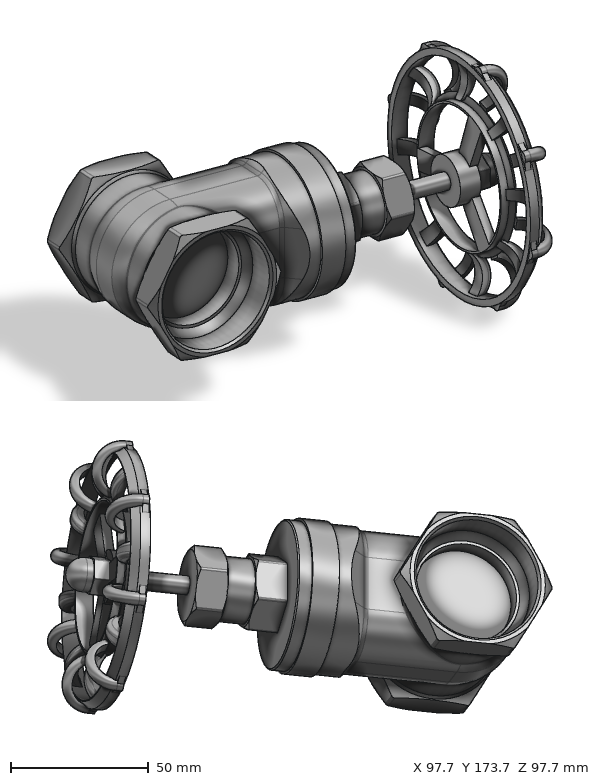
import cadquery as cq
import math

OVERALL_LENGTH = 173.7

END_HALF_LENGTH = 36.0
END_HEX_FLATS = 50.0
END_HEX_WIDTH = 12.2
END_HEX_CORNER_RADIUS = 1.4
END_HEX_CHAMFER = 2.0
END_HEX_FACE_RADIUS = 25.5
END_HEX_BACK_RADIUS = 24.7
PIPE_RADIUS = 48.0 / 2
PIPE_COLLAR_LENGTH = 1.5

MOUTH_RADIUS = 48.0 / 2
THREAD_RADIUS = 46.0 / 2
SEAT_CONE_RADIUS = 20.2
SEAT_RADIUS = 38.0 / 2
THREAD_DEPTH = 12.2
SEAT_CONE_LENGTH = 3.1
SEAT_DEPTH = 7.5

CHAMBER_HALF_X = 20.2
CHAMBER_HALF_Z = 25.0
CHAMBER_CORNER_RADIUS = 15.0
CHAMBER_AXIS_Y = -0.9
CHAMBER_TOP_Y = 37.9
BOWL_RADIUS = 55.0 / 2
FLARE_FILLET = 2.5
PIPE_JOINT_FILLET = 0.9

UNION_RADIUS = 57.0 / 2
UNION_BOTTOM_Y = 50.0
UNION_TOP_Y = 60.1
FLANGE_TOP_Y = 65.3
FLANGE_CHAMFER = 0.5
BONNET_HEX_TOP_Y = 77.1
GLAND_BOTTOM_Y = 87.5
GLAND_TOP_Y = 99.4
SMALL_HEX_FLATS = 25.9
SMALL_HEX_CORNER_RADIUS = 1.0
SMALL_HEX_CHAMFER = 1.0
COLLAR_RADIUS = 24.0 / 2
BONNET_HEX_ANGLE = 90.0
GLAND_ANGLE = -5.0

STEM_RADIUS = 7.0 / 2
STEM_TIP_RADIUS = 6.6 / 2
STEM_TIP_LENGTH = 8.0
NUT_HEIGHT = 15.0
NUT_HEX_FLATS = 13.0
NUT_HEX_HEIGHT = 6.3
NUT_HEX_CORNER_RADIUS = 0.3
DOME_RADIUS = 12.5 / 2

WHEEL_DROP = 18.0
HUB_RADIUS = 20.0 / 2
HUB_DROP = 5.7
RIM_RADIUS = 48.3
RIM_BORE_RADIUS = 91.0 / 2
RIM_EDGE_HEIGHT = 3.8
RIM_HEIGHT = 6.8
RIM_TOP_LAND = 0.3
RING_RADIUS = 31.1
RING_BASE_RADIUS = 28.5
RING_BORE_RADIUS = 27.6
RING_LIP_HEIGHT = 3.3
RING_EDGE_HEIGHT = 4.5
LOOP_COUNT = 8
LOOP_FIRST_ANGLE = 30.0
LOOP_ROUND_RADIUS = 2.5
LOOP_FLAT_DEPTH = 0.7
LOOP_BEND_RADIUS = 8.5
LOOP_FOOT_RADIUS = 48.0
LOOP_FOOT_HEIGHT = 0.5
LOOP_BEND_HEIGHT = 3.0
LOOP_END_HEIGHT = 5.2
LUG_HALF_WIDTH = 5.0
LUG_TIP_HALF_WIDTH = 2.0
LUG_HEIGHT = 2.5
BAR_FIRST_ANGLE = 7.5
BAR_INNER_WIDTH = 4.2
BAR_OUTER_WIDTH = 6.3
BAR_INNER_BOTTOM = 1.7
BAR_INNER_TOP = 5.2
BAR_CROWN_RADIUS = 41.7
BAR_CROWN_BOTTOM = 4.5
BAR_CROWN_TOP = 9.0
BAR_OUTER_BOTTOM = 0.5
BAR_OUTER_TOP = 5.2
BAR_EDGE_RADIUS = 1.7
SPOKE_COUNT = 3
SPOKE_FIRST_ANGLE = 67.5
SPOKE_HUB_WIDTH = 7.6
SPOKE_RING_WIDTH = 9.0
SPOKE_THICKNESS = 3.6

HEX_CORNER_FACTOR = 1 / math.cos(math.radians(30))
end_hex_reach = END_HEX_FLATS / 2 * HEX_CORNER_FACTOR - END_HEX_CORNER_RADIUS * (HEX_CORNER_FACTOR - 1)
nut_top_y = OVERALL_LENGTH - end_hex_reach
nut_base_y = nut_top_y - NUT_HEIGHT
wheel_y = nut_top_y - WHEEL_DROP
hub_bottom_y = wheel_y - HUB_DROP


def turned_y(points):
    """Solid of revolution about Y from (radius, y) points."""
    return cq.Workplane("XY").polyline(points).close().revolve(360, (0, 0), (0, 1))


def turned_x(points):
    """Solid of revolution about X from (x, radius) points."""
    return cq.Workplane("XY").polyline(points).close().revolve(360, (0, 0), (1, 0))


def cylinder_y(radius, bottom, top):
    return cq.Workplane("XZ", origin=(0, bottom, 0)).circle(radius).extrude(bottom - top)


def about_stem(shape, angle):
    """Turn a shape about the stem, from +X toward +Z."""
    return shape.rotate((0, 0, 0), (0, 1, 0), -angle)


def hex_y(flats, bottom, top, corner_radius, angle):
    """Hexagonal prism along Y with rounded corners, one of them at the given angle."""
    prism = (
        cq.Workplane("XZ", origin=(0, bottom, 0))
        .polygon(6, flats * HEX_CORNER_FACTOR)
        .extrude(bottom - top)
        .edges("|Y")
        .fillet(corner_radius)
    )
    return about_stem(prism, angle)


def pipe_end():
    """Hexagonal pipe end on the +X side, turned down to cones at both faces."""
    inner_x = END_HALF_LENGTH - END_HEX_WIDTH
    prism = (
        cq.Workplane("YZ", origin=(inner_x, 0, 0))
        .polygon(6, END_HEX_FLATS * HEX_CORNER_FACTOR)
        .extrude(END_HEX_WIDTH)
        .edges("|X")
        .fillet(END_HEX_CORNER_RADIUS)
    )
    envelope = turned_x([
        (inner_x, 0),
        (inner_x, END_HEX_BACK_RADIUS),
        (inner_x + END_HEX_CHAMFER, end_hex_reach),
        (END_HALF_LENGTH - END_HEX_CHAMFER, end_hex_reach),
        (END_HALF_LENGTH, END_HEX_FACE_RADIUS),
        (END_HALF_LENGTH, 0),
    ])
    collar = turned_x([
        (inner_x - PIPE_COLLAR_LENGTH, 0),
        (inner_x - PIPE_COLLAR_LENGTH, PIPE_RADIUS),
        (inner_x, END_HEX_BACK_RADIUS),
        (inner_x, 0),
    ])
    return prism.intersect(envelope).union(collar)


def pipe_bore():
    """Blind bore on the +X side: mouth chamfer, thread bore, cone and seat bore up to the gate."""
    mouth_x = END_HALF_LENGTH - (MOUTH_RADIUS - THREAD_RADIUS)
    cone_x = END_HALF_LENGTH - THREAD_DEPTH
    seat_x = cone_x - SEAT_CONE_LENGTH
    gate_x = seat_x - SEAT_DEPTH
    return turned_x([
        (END_HALF_LENGTH, 0),
        (END_HALF_LENGTH, MOUTH_RADIUS),
        (mouth_x, THREAD_RADIUS),
        (cone_x, THREAD_RADIUS),
        (seat_x, SEAT_CONE_RADIUS),
        (seat_x, SEAT_RADIUS),
        (gate_x, SEAT_RADIUS),
        (gate_x, 0),
    ])


def chamber_section():
    """Rounded rectangle of the gate chamber at the level of its lower rounding."""
    return cq.Sketch().rect(2 * CHAMBER_HALF_X, 2 * CHAMBER_HALF_Z).vertices().fillet(CHAMBER_CORNER_RADIUS)


def is_pipe_joint(edge):
    """True for an edge where the chamber leaves the pipe surface."""
    tolerance = 0.002
    points = [edge.positionAt(t) for t in (0, 0.3, 1)]
    on_pipe = all(abs(math.hypot(p.y, p.z) - PIPE_RADIUS) < tolerance for p in points)
    return on_pipe and all(abs(p.x) < CHAMBER_HALF_X + tolerance for p in points)


def pipe_and_chamber():
    """Pipe crossed by a rounded-rectangle neck with a round underside and a 45-degree flare to the bowl."""
    neck_length = CHAMBER_TOP_Y - CHAMBER_AXIS_Y
    section = cq.Workplane("XZ", origin=(0, CHAMBER_AXIS_Y, 0)).placeSketch(chamber_section())
    neck = section.extrude(-neck_length)
    flat_half = CHAMBER_HALF_X - CHAMBER_CORNER_RADIUS
    shoulder = CHAMBER_HALF_Z - CHAMBER_CORNER_RADIUS
    underside = (
        cq.Workplane("XY", origin=(0, CHAMBER_AXIS_Y, 0))
        .moveTo(-CHAMBER_HALF_X, 0)
        .lineTo(-CHAMBER_HALF_X, shoulder)
        .radiusArc((-flat_half, CHAMBER_HALF_Z), CHAMBER_CORNER_RADIUS)
        .lineTo(flat_half, CHAMBER_HALF_Z)
        .radiusArc((CHAMBER_HALF_X, shoulder), CHAMBER_CORNER_RADIUS)
        .lineTo(CHAMBER_HALF_X, 0)
        .close()
        .revolve(360, (0, 0, 0), (1, 0, 0))
    )
    flare = (
        cq.Workplane("XZ", origin=(0, CHAMBER_TOP_Y, 0))
        .placeSketch(chamber_section())
        .extrude(CHAMBER_TOP_Y - UNION_BOTTOM_Y, taper=-45)
        .intersect(cylinder_y(BOWL_RADIUS, CHAMBER_TOP_Y, UNION_BOTTOM_Y))
    )
    flare_foot = cq.selectors.BoxSelector(
        (-UNION_RADIUS, CHAMBER_TOP_Y - FLARE_FILLET / 10, -UNION_RADIUS),
        (UNION_RADIUS, CHAMBER_TOP_Y + FLARE_FILLET / 10, UNION_RADIUS),
    )
    chamber = neck.union(flare).edges(flare_foot).fillet(FLARE_FILLET).union(underside)
    pipe_half_length = END_HALF_LENGTH - END_HEX_WIDTH / 2
    pipe = cq.Workplane("YZ").circle(PIPE_RADIUS).extrude(pipe_half_length, both=True)
    crossing = pipe.union(chamber)
    joint = [edge for edge in crossing.edges().vals() if is_pipe_joint(edge)]
    return crossing.newObject(joint).fillet(PIPE_JOINT_FILLET)


def bonnet_flanges():
    """Union ring and the chamfered flange above it."""
    return turned_y([
        (0, UNION_BOTTOM_Y),
        (UNION_RADIUS, UNION_BOTTOM_Y),
        (UNION_RADIUS, UNION_TOP_Y),
        (BOWL_RADIUS, UNION_TOP_Y),
        (BOWL_RADIUS, FLANGE_TOP_Y - FLANGE_CHAMFER),
        (BOWL_RADIUS - FLANGE_CHAMFER, FLANGE_TOP_Y),
        (0, FLANGE_TOP_Y),
    ])


def gland():
    """Bonnet hexagon, collar and the gland hexagon, with turned-down hexagon ends."""
    full_radius = SMALL_HEX_FLATS / 2 * HEX_CORNER_FACTOR
    end_radius = full_radius - SMALL_HEX_CHAMFER * math.sqrt(3)
    bonnet_hex = hex_y(
        SMALL_HEX_FLATS, FLANGE_TOP_Y, BONNET_HEX_TOP_Y, SMALL_HEX_CORNER_RADIUS, BONNET_HEX_ANGLE
    ).intersect(turned_y([
        (0, FLANGE_TOP_Y),
        (full_radius, FLANGE_TOP_Y),
        (full_radius, BONNET_HEX_TOP_Y - SMALL_HEX_CHAMFER),
        (end_radius, BONNET_HEX_TOP_Y),
        (0, BONNET_HEX_TOP_Y),
    ]))
    gland_nut = hex_y(
        SMALL_HEX_FLATS, GLAND_BOTTOM_Y, GLAND_TOP_Y, SMALL_HEX_CORNER_RADIUS, GLAND_ANGLE
    ).intersect(turned_y([
        (0, GLAND_BOTTOM_Y),
        (end_radius, GLAND_BOTTOM_Y),
        (full_radius, GLAND_BOTTOM_Y + SMALL_HEX_CHAMFER),
        (full_radius, GLAND_TOP_Y - SMALL_HEX_CHAMFER),
        (end_radius, GLAND_TOP_Y),
        (0, GLAND_TOP_Y),
    ]))
    collar = cylinder_y(COLLAR_RADIUS, BONNET_HEX_TOP_Y, GLAND_BOTTOM_Y)
    return bonnet_hex.union(collar).union(gland_nut)


def stem():
    """Stem from the gland through the wheel, with a thinner tip inside the cap nut."""
    shank = cylinder_y(STEM_RADIUS, GLAND_TOP_Y, nut_base_y)
    tip = cylinder_y(STEM_TIP_RADIUS, nut_base_y, nut_base_y + STEM_TIP_LENGTH)
    return shank.union(tip)


def make_valve_body():
    body = pipe_and_chamber().union(bonnet_flanges()).union(gland()).union(stem())
    for side_angle in (0, 180):
        body = body.union(about_stem(pipe_end(), side_angle))
    for side_angle in (0, 180):
        body = body.cut(about_stem(pipe_bore(), side_angle))
    return body


def wheel_rim():
    return turned_y([
        (RIM_BORE_RADIUS, wheel_y),
        (RIM_RADIUS, wheel_y),
        (RIM_RADIUS, wheel_y + RIM_EDGE_HEIGHT),
        (RIM_BORE_RADIUS + RIM_TOP_LAND, wheel_y + RIM_HEIGHT),
        (RIM_BORE_RADIUS, wheel_y + RIM_HEIGHT),
    ])


def wheel_inner_ring():
    return turned_y([
        (RING_BORE_RADIUS, wheel_y),
        (RING_BASE_RADIUS, wheel_y),
        (RING_BASE_RADIUS, wheel_y + RING_LIP_HEIGHT),
        (RING_RADIUS, wheel_y + RING_EDGE_HEIGHT),
        (RING_BASE_RADIUS, wheel_y + RIM_HEIGHT),
        (RING_BORE_RADIUS, wheel_y + RIM_HEIGHT),
    ])


def finger_loop():
    """Half-round strap, flat underneath, arching from the rim to the inner ring in the XY plane."""
    foot_y = wheel_y + LOOP_FOOT_HEIGHT
    bend_y = wheel_y + LOOP_BEND_HEIGHT
    end_y = wheel_y + LOOP_END_HEIGHT
    bend_center_x = LOOP_FOOT_RADIUS - LOOP_BEND_RADIUS
    end_x = bend_center_x - math.sqrt(LOOP_BEND_RADIUS**2 - (end_y - bend_y) ** 2)
    flat_half_width = math.sqrt(LOOP_ROUND_RADIUS**2 - LOOP_FLAT_DEPTH**2)
    path = (
        cq.Workplane("XY")
        .moveTo(LOOP_FOOT_RADIUS, foot_y)
        .lineTo(LOOP_FOOT_RADIUS, bend_y)
        .threePointArc(
            (bend_center_x, bend_y + LOOP_BEND_RADIUS),
            (end_x, end_y),
        )
    )
    return (
        cq.Workplane("XZ", origin=(LOOP_FOOT_RADIUS, foot_y, 0))
        .moveTo(-LOOP_FLAT_DEPTH, -flat_half_width)
        .threePointArc((LOOP_ROUND_RADIUS, 0), (-LOOP_FLAT_DEPTH, flat_half_width))
        .close()
        .sweep(path)
    )


def loop_lug():
    """Flare of the rim on both sides of a loop foot."""
    tip_x = LOOP_FOOT_RADIUS + LOOP_ROUND_RADIUS * math.cos(math.asin(LUG_TIP_HALF_WIDTH / LOOP_ROUND_RADIUS))
    root_x = math.sqrt(RIM_RADIUS**2 - LUG_HALF_WIDTH**2)
    inner_x = (RIM_BORE_RADIUS + RIM_RADIUS) / 2
    return (
        cq.Workplane("XZ", origin=(0, wheel_y + LOOP_FOOT_HEIGHT, 0))
        .polyline([
            (inner_x, -LUG_TIP_HALF_WIDTH),
            (root_x, -LUG_HALF_WIDTH),
            (tip_x, -LUG_TIP_HALF_WIDTH),
            (tip_x, LUG_TIP_HALF_WIDTH),
            (root_x, LUG_HALF_WIDTH),
            (inner_x, LUG_TIP_HALF_WIDTH),
        ])
        .close()
        .extrude(-LUG_HEIGHT)
    )


def arched_bar():
    """Bar with a rounded top, widening outward and arching from the inner ring to the rim."""
    start_x = (RING_BORE_RADIUS + RING_RADIUS) / 2
    end_x = (RIM_BORE_RADIUS + RIM_RADIUS) / 2
    arch = (
        cq.Workplane("XY", origin=(0, wheel_y, 0))
        .moveTo(start_x, BAR_INNER_TOP)
        .threePointArc((BAR_CROWN_RADIUS, BAR_CROWN_TOP), (end_x, BAR_OUTER_TOP))
        .lineTo(end_x, BAR_OUTER_BOTTOM)
        .threePointArc((BAR_CROWN_RADIUS, BAR_CROWN_BOTTOM), (start_x, BAR_INNER_BOTTOM))
        .close()
        .extrude(BAR_OUTER_WIDTH, both=True)
    )
    outline = (
        cq.Workplane("XZ", origin=(0, wheel_y, 0))
        .polyline([
            (start_x, -BAR_INNER_WIDTH / 2),
            (end_x, -BAR_OUTER_WIDTH / 2),
            (end_x, BAR_OUTER_WIDTH / 2),
            (start_x, BAR_INNER_WIDTH / 2),
        ])
        .close()
        .extrude(-2 * BAR_CROWN_TOP)
    )
    bar = arch.intersect(outline)
    return bar.faces(">Y").edges("not |Z").fillet(BAR_EDGE_RADIUS)


def wheel_spoke():
    """Flat spoke from the hub to the inner ring along X."""
    start_x = HUB_RADIUS / 2
    end_x = (RING_BORE_RADIUS + RING_BASE_RADIUS) / 2
    return (
        cq.Workplane("XZ", origin=(0, wheel_y, 0))
        .polyline([
            (start_x, -SPOKE_HUB_WIDTH / 2),
            (end_x, -SPOKE_RING_WIDTH / 2),
            (end_x, SPOKE_RING_WIDTH / 2),
            (start_x, SPOKE_HUB_WIDTH / 2),
        ])
        .close()
        .extrude(-SPOKE_THICKNESS)
    )


def make_handwheel():
    wheel = wheel_rim().union(wheel_inner_ring()).union(cylinder_y(HUB_RADIUS, hub_bottom_y, nut_base_y))
    for i in range(SPOKE_COUNT):
        wheel = wheel.union(about_stem(wheel_spoke(), SPOKE_FIRST_ANGLE + i * 360 / SPOKE_COUNT))
    for i in range(LOOP_COUNT):
        step = i * 360 / LOOP_COUNT
        wheel = wheel.union(about_stem(finger_loop(), LOOP_FIRST_ANGLE + step))
        wheel = wheel.union(about_stem(loop_lug(), LOOP_FIRST_ANGLE + step))
        wheel = wheel.union(about_stem(arched_bar(), BAR_FIRST_ANGLE + step))
    return wheel.cut(cylinder_y(STEM_RADIUS, hub_bottom_y, nut_base_y))


def make_cap_nut():
    """Hexagon nut closed by a dome, with a blind hole for the stem tip."""
    hexagon = hex_y(
        NUT_HEX_FLATS, nut_base_y, nut_base_y + NUT_HEX_HEIGHT, NUT_HEX_CORNER_RADIUS, BONNET_HEX_ANGLE
    )
    dome_y = nut_top_y - DOME_RADIUS
    dome = cylinder_y(DOME_RADIUS, nut_base_y, dome_y).union(
        cq.Workplane("XY", origin=(0, dome_y, 0)).sphere(DOME_RADIUS)
    )
    return hexagon.union(dome).cut(cylinder_y(STEM_TIP_RADIUS, nut_base_y, nut_base_y + STEM_TIP_LENGTH))


valve_body = make_valve_body()
handwheel = make_handwheel()
cap_nut = make_cap_nut()

result = cq.Compound.makeCompound([valve_body.val(), handwheel.val(), cap_nut.val()])